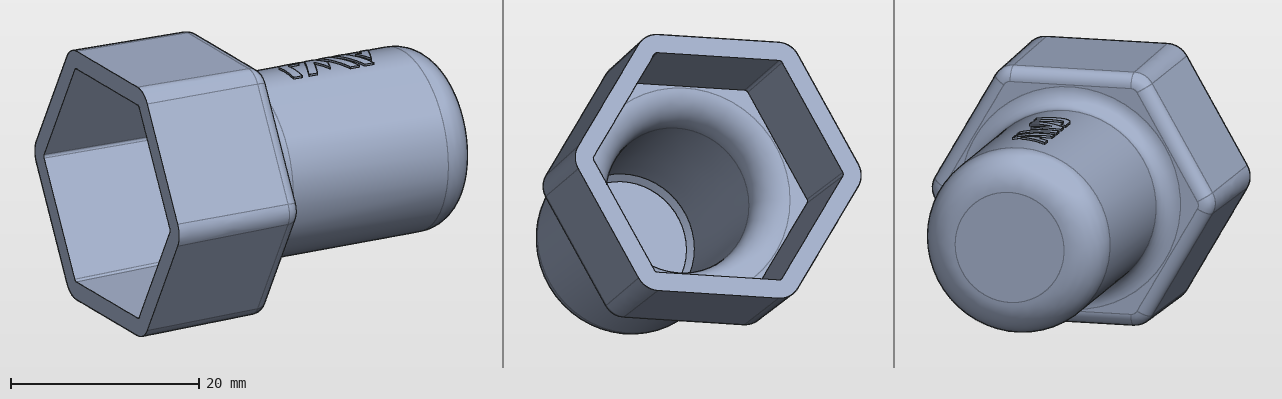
import cadquery as cq
import math

LENGTH = 40.0

HEX_FLATS = 28.0
HEX_LENGTH = 15.0
HEX_DRAFT = 0.9
HEX_CORNER_RADIUS = 2.5
HEX_SHOULDER_RADIUS = 1.5

BARREL_RADIUS = 10.0
TIP_RADIUS = 4.0
NECK_RADIUS = 2.1

SOCKET_WALL = 2.0
POCKET_MOUTH_FLATS = HEX_FLATS - 2 * SOCKET_WALL
POCKET_FLOOR_FLATS = 23.4
POCKET_DEPTH = 13.0
POCKET_CORNER_RADIUS = 0.4

BORE_RADIUS = 7.95
BORE_END_RADIUS = 7.7
BORE_ENTRY_RADIUS = 3.55
BORE_CHAMFER = 0.7
TIP_WALL = 2.0
BORE_END = LENGTH - TIP_WALL

STROKE_HEIGHT = 0.2
LETTER_HALF_WIDTH = 1.95
BAR_WIDTH = 1.1
BAR_RISE = 1.6
BAR_PITCH = 1.75
FIRST_BAR_Y = 28.7
BAR_COUNT = 2


def arc_middle(centre, radius, degrees):
    """Point on an arc, at an angle counted from +X."""
    angle = math.radians(degrees)
    return centre[0] + radius * math.cos(angle), centre[1] + radius * math.sin(angle)


def revolve_about_y(profile):
    return profile.close().revolve(360, (0, 0, 0), (0, 1, 0))


def across_corners(flats):
    """Corner-to-corner size of a regular hexagon."""
    return flats / math.cos(math.radians(30))


def hexagon(flats):
    """Hexagon in the mouth plane with its corners on +X and -X; extruding by a minus goes to +Y."""
    return cq.Workplane("XZ").polygon(6, across_corners(flats))


def make_socket():
    prism = hexagon(HEX_FLATS).extrude(-HEX_LENGTH).edges("|Y").fillet(HEX_CORNER_RADIUS)
    mouth = prism.faces("<Y").wires().val()
    drafted = cq.Workplane("XZ").add(mouth).toPending().extrude(-HEX_LENGTH, taper=HEX_DRAFT)
    return drafted.faces(">Y").edges().fillet(HEX_SHOULDER_RADIUS)


def make_barrel():
    neck_centre = (BARREL_RADIUS + NECK_RADIUS, HEX_LENGTH + NECK_RADIUS)
    tip_centre = (BARREL_RADIUS - TIP_RADIUS, LENGTH - TIP_RADIUS)
    profile = (
        cq.Workplane("XY")
        .moveTo(0, POCKET_DEPTH)
        .lineTo(neck_centre[0], POCKET_DEPTH)
        .lineTo(neck_centre[0], HEX_LENGTH)
        .threePointArc(arc_middle(neck_centre, NECK_RADIUS, 225), (BARREL_RADIUS, neck_centre[1]))
        .lineTo(BARREL_RADIUS, tip_centre[1])
        .threePointArc(arc_middle(tip_centre, TIP_RADIUS, 45), (tip_centre[0], LENGTH))
        .lineTo(0, LENGTH)
    )
    return revolve_about_y(profile)


def make_pocket():
    return (
        hexagon(POCKET_MOUTH_FLATS)
        .workplane(offset=-POCKET_DEPTH)
        .polygon(6, across_corners(POCKET_FLOOR_FLATS))
        .loft(ruled=True)
        .edges("not #Y")
        .fillet(POCKET_CORNER_RADIUS)
    )


def make_bore():
    entry_centre = (BORE_RADIUS + BORE_ENTRY_RADIUS, POCKET_DEPTH + BORE_ENTRY_RADIUS)
    chamfer_start = BORE_END - BORE_CHAMFER
    profile = (
        cq.Workplane("XY")
        .moveTo(0, POCKET_DEPTH)
        .lineTo(entry_centre[0], POCKET_DEPTH)
        .threePointArc(arc_middle(entry_centre, BORE_ENTRY_RADIUS, 225), (BORE_RADIUS, entry_centre[1]))
        .lineTo(BORE_END_RADIUS, chamfer_start)
        .lineTo(BORE_END_RADIUS - BORE_CHAMFER, BORE_END)
        .lineTo(0, BORE_END)
    )
    return revolve_about_y(profile)


def make_cap():
    return make_socket().union(make_barrel()).cut(make_pocket()).cut(make_bore())


def raise_stroke(outline):
    """Turn a closed outline in plan into a plate of even height lying on the top of the barrel."""
    outer_radius = BARREL_RADIUS + STROKE_HEIGHT
    sleeve = cq.Workplane("XZ").circle(outer_radius).circle(BARREL_RADIUS).extrude(-LENGTH)
    return outline.close().extrude(outer_radius).intersect(sleeve)


def make_a_stroke():
    outline = cq.Workplane("XY").polyline([
        (-LETTER_HALF_WIDTH, 32.9),
        (1.0, 31.65),
        (-1.1, 30.85),
        (-1.1, 31.6),
        (-LETTER_HALF_WIDTH, 31.85),
    ])
    return raise_stroke(outline)


def make_bar(left_y):
    right_y = left_y + BAR_RISE
    outline = cq.Workplane("XY").polyline([
        (-LETTER_HALF_WIDTH, left_y),
        (LETTER_HALF_WIDTH, right_y),
        (LETTER_HALF_WIDTH, right_y + BAR_WIDTH),
        (-LETTER_HALF_WIDTH, left_y + BAR_WIDTH),
    ])
    return raise_stroke(outline)


def make_w_stroke():
    outline = cq.Workplane("XY").polyline([
        (-LETTER_HALF_WIDTH, 26.2),
        (-0.1, 26.95),
        (1.3, 26.5),
        (-0.8, 25.7),
        (LETTER_HALF_WIDTH, 24.55),
        (LETTER_HALF_WIDTH, 23.5),
        (-LETTER_HALF_WIDTH, 25.1),
    ])
    return raise_stroke(outline)


def make_j_stroke():
    inner_x = -1.45
    top_y = 22.7
    bottom_y = 21.65
    outer_bend = 0.95
    inner_bend = 0.5
    outer_centre = (-LETTER_HALF_WIDTH + outer_bend, bottom_y + outer_bend)
    inner_centre = (inner_x + inner_bend, top_y + inner_bend)
    outline = (
        cq.Workplane("XY")
        .moveTo(-LETTER_HALF_WIDTH, 24.3)
        .lineTo(-LETTER_HALF_WIDTH, outer_centre[1])
        .threePointArc(arc_middle(outer_centre, outer_bend, 225), (outer_centre[0], bottom_y))
        .lineTo(LETTER_HALF_WIDTH, bottom_y)
        .lineTo(LETTER_HALF_WIDTH, top_y)
        .lineTo(inner_centre[0], top_y)
        .threePointArc(arc_middle(inner_centre, inner_bend, 225), (inner_x, inner_centre[1]))
        .lineTo(inner_x, 24.15)
    )
    return raise_stroke(outline)


cap = make_cap()
a_stroke = make_a_stroke()
bars = [make_bar(FIRST_BAR_Y - i * BAR_PITCH) for i in range(BAR_COUNT)]
w_stroke = make_w_stroke()
j_stroke = make_j_stroke()

result = cq.Compound.makeCompound([
    *cap.vals(),
    *a_stroke.vals(),
    *[bar.val() for bar in bars],
    *w_stroke.vals(),
    *j_stroke.vals(),
])